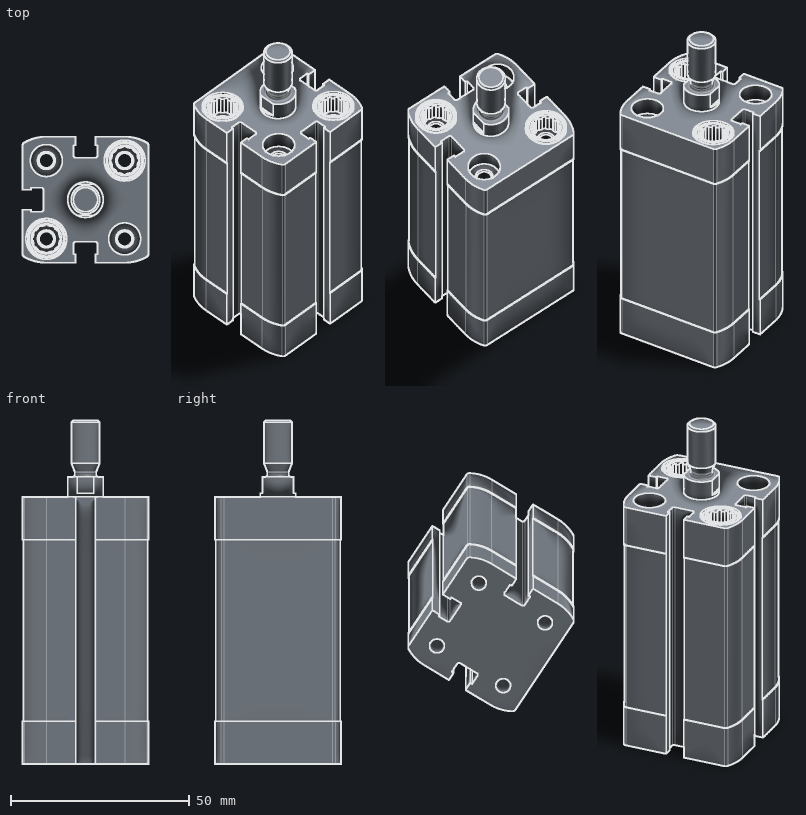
import cadquery as cq
import math

housing_length = 75.1
cap_length = 12.0
cap_width = 35.5
tube_inset = 0.2
rod_projection = 21.5

side_flat_half = 11.0
corner_radius = 12.5
corner_fillet = 1.0
slot_opening = 5.5
slot_width = 6.7
slot_floor = 11.85
slot_lip = 15.25
slot_fillet = 0.5
slot_angles = (0, 90, -90)

hole_offset = 11.0
hole_diameter = 4.13
hole_mouth = 5.0
counterbore_diameter = 9.0
counterbore_depth = 5.0
recess_diameter = 11.5
collar_diameter = 10.5
collar_chamfer = 0.4
groove_depth = 0.8
socket_mouth = 8.5
socket_root = 7.94
socket_tip = 7.5
socket_mouth_depth = 0.8
socket_depth = 6.0
socket_teeth = 12
first_tooth_angle = 45

rod_diameter = 10.0
rod_insertion = cap_length
shoulder_height = 5.6
flat_start = 1.0
across_flats = 8.8
neck_diameter = 6.1
neck_fillet = 0.6
cone_start = 7.05
cone_fillet = 0.8
thread_diameter = 8.0
thread_start = 9.4
tip_chamfer = 0.6


def section(inset, length, bottom):
    """Prism with the cap outline moved inwards by the inset: flat sides and large rounded corners."""
    half = cap_width / 2 - inset
    arc_radius = corner_radius - inset
    centre_y = half - arc_radius

    def arc_point(x):
        return x, centre_y + math.sqrt(arc_radius ** 2 - (x - side_flat_half) ** 2)

    corner_x, corner_y = arc_point(half)
    mid_x, mid_y = arc_point((side_flat_half + half) / 2)
    return (
        cq.Workplane("XY", origin=(0, 0, bottom))
        .moveTo(-side_flat_half, half)
        .lineTo(side_flat_half, half)
        .threePointArc((mid_x, mid_y), (corner_x, corner_y))
        .lineTo(corner_x, -corner_y)
        .threePointArc((mid_x, -mid_y), (side_flat_half, -half))
        .lineTo(-side_flat_half, -half)
        .threePointArc((-mid_x, -mid_y), (-corner_x, -corner_y))
        .lineTo(-corner_x, corner_y)
        .threePointArc((-mid_x, mid_y), (-side_flat_half, half))
        .close()
        .extrude(length)
        .edges("|Z and (>X or <X)")
        .fillet(corner_fillet - inset)
    )


def sensor_slot():
    """T-shaped slot along the whole housing, open towards -X."""
    opening = (
        cq.Workplane("XY")
        .center(-(slot_floor + cap_width) / 2, 0)
        .rect(cap_width - slot_floor, slot_opening)
        .extrude(housing_length)
    )
    chamber = (
        cq.Workplane("XY")
        .center(-(slot_floor + slot_lip) / 2, 0)
        .rect(slot_lip - slot_floor, slot_width)
        .extrude(housing_length)
        .edges("|Z and >X")
        .fillet(slot_fillet)
    )
    return opening.union(chamber)


def disc(x, y, diameter, depth):
    """Cylinder that reaches down from the top face."""
    return cq.Workplane("XY", origin=(x, y, housing_length - depth)).circle(diameter / 2).extrude(depth)


def bolt_hole(x, y, seat_depth):
    """Through hole with a countersunk mouth at the floor of its seat."""
    seat = housing_length - seat_depth
    mouth_depth = (hole_mouth - hole_diameter) / 2
    profile = [
        (0, 0),
        (hole_diameter / 2, 0),
        (hole_diameter / 2, seat - mouth_depth),
        (hole_mouth / 2, seat),
        (0, seat),
    ]
    return cq.Workplane("XZ").polyline(profile).close().revolve(360, (0, 0), (0, 1)).translate((x, y, 0))


def socket_tooth(angle):
    """One straight tooth on the wall of the screw's socket."""
    tooth_width = math.pi * socket_tip / socket_teeth / 2
    return (
        cq.Workplane("XY")
        .center(socket_root / 2, 0)
        .rect(socket_root - socket_tip, tooth_width)
        .extrude(socket_depth)
        .rotate((0, 0, 0), (0, 0, 1), angle)
    )


def screw_cut(x, y):
    """Groove around the screw collar and the toothed socket inside it."""
    collar = disc(x, y, collar_diameter, groove_depth).faces(">Z").edges().chamfer(collar_chamfer)
    groove = disc(x, y, recess_diameter, groove_depth).cut(collar)
    socket = disc(x, y, socket_root, socket_depth)
    for tooth in range(socket_teeth):
        angle = first_tooth_angle + tooth * 360 / socket_teeth
        socket = socket.cut(socket_tooth(angle).translate((x, y, housing_length - socket_depth)))
    mouth_start = cq.Vector(x, y, housing_length - socket_mouth_depth)
    mouth = cq.Workplane(
        cq.Solid.makeCone(socket_tip / 2, socket_mouth / 2, socket_mouth_depth, pnt=mouth_start)
    )
    return groove.union(socket).union(mouth)


def make_housing():
    """Tube between two slightly wider end caps, with slots, holes and the rod bore."""
    body = section(0, cap_length, 0)
    body = body.union(section(tube_inset, housing_length - 2 * cap_length, cap_length))
    body = body.union(section(0, cap_length, housing_length - cap_length))
    for angle in slot_angles:
        body = body.cut(sensor_slot().rotate((0, 0, 0), (0, 0, 1), angle))
    for side in (-1, 1):
        x = side * hole_offset
        body = body.cut(disc(x, -x, counterbore_diameter, counterbore_depth))
        body = body.cut(bolt_hole(x, -x, counterbore_depth))
        body = body.cut(screw_cut(x, x))
        body = body.cut(bolt_hole(x, x, socket_depth))
    return body.cut(disc(0, 0, rod_diameter, rod_insertion))


def make_rod():
    """Turned rod with a wrench shoulder, an undercut neck and a threaded end."""
    neck = neck_diameter / 2
    thread = thread_diameter / 2
    arc_offset = neck_fillet * (1 - math.sqrt(0.5))
    rod = (
        cq.Workplane("XZ")
        .moveTo(0, -rod_insertion)
        .lineTo(rod_diameter / 2, -rod_insertion)
        .lineTo(rod_diameter / 2, shoulder_height)
        .lineTo(neck + neck_fillet, shoulder_height)
        .threePointArc((neck + arc_offset, shoulder_height + arc_offset), (neck, shoulder_height + neck_fillet))
        .lineTo(neck, cone_start)
        .lineTo(thread, thread_start)
        .lineTo(thread, rod_projection - tip_chamfer)
        .lineTo(thread - tip_chamfer, rod_projection)
        .lineTo(0, rod_projection)
        .close()
        .revolve(360, (0, 0), (0, 1))
        .edges("%CIRCLE")
        .edges(cq.selectors.NearestToPointSelector((0, 0, cone_start)))
        .fillet(cone_fillet)
    )
    flat_depth = (rod_diameter - across_flats) / 2
    for side in (-1, 1):
        flat_y = side * (across_flats + flat_depth) / 2
        flat = (
            cq.Workplane("XY", origin=(0, flat_y, flat_start))
            .rect(rod_diameter, flat_depth)
            .extrude(shoulder_height - flat_start)
        )
        rod = rod.cut(flat)
    return rod.translate((0, 0, housing_length))


housing = make_housing()
rod = make_rod()
result = cq.Compound.makeCompound([housing.val(), rod.val()])